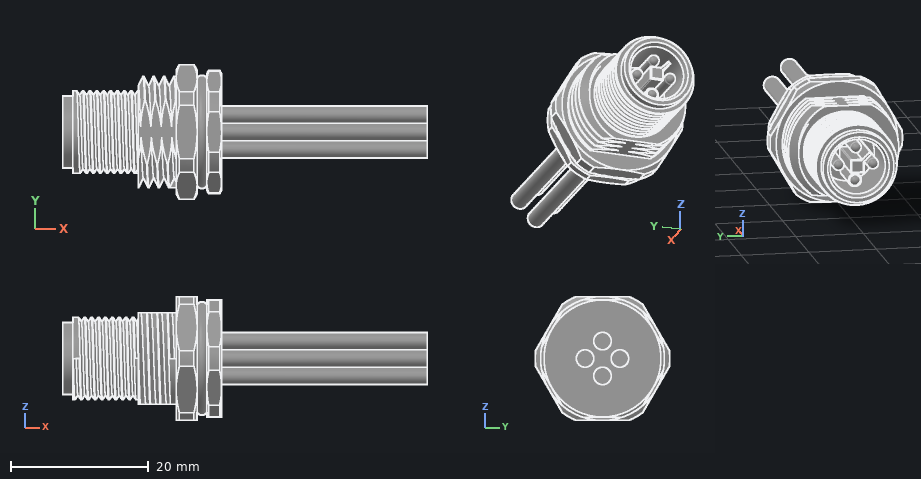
import cadquery as cq
import math


TOTAL_LENGTH = 53.0
COLLAR_START = 1.5
BODY_START = 10.98
NUT_START = 16.5
NUT_END = 19.55
FLANGE_START = 20.95
FLANGE_END = 23.1

NOSE_RADIUS = 5.25
BORE_RADIUS = 4.08
BORE_MOUTH_RADIUS = 4.55
BORE_MOUTH_DEPTH = 0.6
BORE_DEPTH = 9.0

COUPLING_CREST = 6.0
COUPLING_ROOT = 5.4
COUPLING_PITCH = 1.0
COUPLING_TURNS = 9
COUPLING_GROOVE_START = 1.98
PANEL_CREST = 8.1
PANEL_ROOT = 6.7
PANEL_PITCH = 1.5
PANEL_TURNS = 4
PANEL_GROOVE_START = 10.24
PANEL_ACROSS_FLATS = 13.3
CREST_LAND = 0.1
CUTTER_OVERSHOOT = 0.02
RUNOUT_TURNS = 2
CLEAR_WIDTH = 3 * PANEL_CREST

NUT_ACROSS_FLATS = 18.0
NUT_CORNER_RADIUS = 9.8
NUT_FACE_RADIUS = 9.0
FLANGE_ACROSS_FLATS = 17.0
FLANGE_CORNER_RADIUS = 9.0
FLANGE_FACE_RADIUS = 8.5
CHAMFER_ANGLE = 30.0

SEAL_RADIUS = 8.25
SEAL_BULGE = 0.4

CONTACT_COUNT = 4
CONTACT_CIRCLE_RADIUS = 2.53
CONTACT_RADIUS = 0.8
LARGE_CONTACT_RADIUS = 0.95
CONTACT_TIP = 1.35
LARGE_CONTACT_TIP = 1.95
WIRE_RADIUS = 1.27

POST_SIZE = 2.0
POST_FILLET = 0.15
POST_TIP = 0.65
POST_CHAMFER = 0.15
KEY_RIB_WIDTH = 0.42
KEY_RIB_REACH = 2.8
KEY_RIB_CHAMFER = 0.15
KEY_RIB_ANGLE = 135.0


def rod(start, end, radius, y=0.0, z=0.0):
    """Cylinder along X from start to end."""
    return cq.Workplane("YZ", origin=(start, y, z)).circle(radius).extrude(end - start)


def revolve_about_x(outline):
    """Revolve a closed (x, radius) outline about the X axis."""
    return outline.close().revolve(360, (0, 0, 0), (1, 0, 0))


def thread_groove(start, pitch, turns, crest, root):
    """Right-handed V groove that starts and ends on the -Y side."""
    outer = crest + CUTTER_OVERSHOOT
    half_width = (pitch - CREST_LAND) / 2
    helix = cq.Wire.makeHelix(pitch, pitch * turns, root)
    profile = (
        cq.Workplane("XZ")
        .moveTo(root, 0)
        .lineTo(outer, half_width)
        .lineTo(outer, -half_width)
        .close()
    )
    groove = profile.sweep(cq.Workplane(obj=helix), isFrenet=True)
    return (
        groove.rotate((0, 0, 0), (0, 1, 0), 90)
        .rotate((0, 0, 0), (1, 0, 0), -90)
        .translate((start, 0, 0))
    )


def threaded_length(start, end, groove, crest, pitch, height):
    """Threaded cylinder from start to end, limited to a height in Z."""
    runout = RUNOUT_TURNS * pitch
    bar = rod(start - runout, end + runout, crest)
    slab = (
        cq.Workplane("XY")
        .box(end - start, CLEAR_WIDTH, height)
        .translate(((start + end) / 2, 0, 0))
    )
    return bar.cut(groove).intersect(slab)


def coupling_sleeve():
    """Plain nose followed by the fully round threaded coupling length."""
    groove = thread_groove(
        COUPLING_GROOVE_START, COUPLING_PITCH, COUPLING_TURNS, COUPLING_CREST, COUPLING_ROOT
    )
    threaded = threaded_length(
        COLLAR_START, BODY_START, groove, COUPLING_CREST, COUPLING_PITCH, CLEAR_WIDTH
    )
    return threaded.union(rod(0, BODY_START, NOSE_RADIUS))


def panel_body():
    """Threaded panel length with a flat above and below."""
    groove = thread_groove(PANEL_GROOVE_START, PANEL_PITCH, PANEL_TURNS, PANEL_CREST, PANEL_ROOT)
    return threaded_length(
        BODY_START, NUT_START, groove, PANEL_CREST, PANEL_PITCH, PANEL_ACROSS_FLATS
    )


def hexagon(start, end, across_flats, corner_radius, face_radius):
    """Hexagon with corners on +Y and -Y, turned down to a radius and chamfered on both faces."""
    prism = (
        cq.Workplane("YZ", origin=(start, 0, 0))
        .polygon(6, across_flats / math.cos(math.pi / 6))
        .extrude(end - start)
    )
    chamfer = (corner_radius - face_radius) * math.tan(math.radians(CHAMFER_ANGLE))
    envelope = revolve_about_x(
        cq.Workplane("XY")
        .moveTo(start, 0)
        .lineTo(start, face_radius)
        .lineTo(start + chamfer, corner_radius)
        .lineTo(end - chamfer, corner_radius)
        .lineTo(end, face_radius)
        .lineTo(end, 0)
    )
    return prism.intersect(envelope)


def seal():
    """Squeezed sealing ring with a rounded rim, between the nut and the flange."""
    shoulder = SEAL_RADIUS - SEAL_BULGE
    return revolve_about_x(
        cq.Workplane("XY")
        .moveTo(NUT_END, 0)
        .lineTo(NUT_END, shoulder)
        .threePointArc(((NUT_END + FLANGE_START) / 2, SEAL_RADIUS), (FLANGE_START, shoulder))
        .lineTo(FLANGE_START, 0)
    )


def bore():
    """Blind socket with a tapered mouth."""
    return revolve_about_x(
        cq.Workplane("XY")
        .moveTo(0, 0)
        .lineTo(0, BORE_MOUTH_RADIUS)
        .lineTo(BORE_MOUTH_DEPTH, BORE_RADIUS)
        .lineTo(BORE_DEPTH, BORE_RADIUS)
        .lineTo(BORE_DEPTH, 0)
    )


def contact(y, z, radius, tip_start):
    """Round contact with a hemispherical tip of the common contact radius."""
    shoulder = tip_start + CONTACT_RADIUS
    tip = cq.Workplane("XY", origin=(shoulder, y, z)).sphere(CONTACT_RADIUS)
    return rod(shoulder, BORE_DEPTH, radius, y, z).union(tip)


def keying_post():
    """Square centre post with a thin rib running out from its (-Y, +Z) corner."""
    length = BORE_DEPTH - POST_TIP
    post = (
        cq.Workplane("YZ", origin=(POST_TIP, 0, 0))
        .rect(POST_SIZE, POST_SIZE)
        .extrude(length)
        .edges("|X")
        .fillet(POST_FILLET)
        .faces("<X")
        .chamfer(POST_CHAMFER)
    )
    rib = (
        cq.Workplane("YZ", origin=(POST_TIP, 0, 0))
        .rect(KEY_RIB_REACH, KEY_RIB_WIDTH)
        .extrude(length)
        .translate((0, KEY_RIB_REACH / 2, 0))
        .faces(">Y")
        .edges("<X")
        .chamfer(KEY_RIB_CHAMFER)
        .rotate((0, 0, 0), (1, 0, 0), KEY_RIB_ANGLE)
    )
    return post.union(rib)


def contacts_and_wires():
    """Four contacts on one circle, the large one at -Z, each with a wire on the same axis."""
    for index in range(CONTACT_COUNT):
        angle = 2 * math.pi * index / CONTACT_COUNT
        y = CONTACT_CIRCLE_RADIUS * math.sin(angle)
        z = -CONTACT_CIRCLE_RADIUS * math.cos(angle)
        if index == 0:
            yield contact(y, z, LARGE_CONTACT_RADIUS, LARGE_CONTACT_TIP)
        else:
            yield contact(y, z, CONTACT_RADIUS, CONTACT_TIP)
        yield rod(FLANGE_END, TOTAL_LENGTH, WIRE_RADIUS, y, z)


result = coupling_sleeve().union(panel_body())
result = result.union(
    hexagon(NUT_START, NUT_END, NUT_ACROSS_FLATS, NUT_CORNER_RADIUS, NUT_FACE_RADIUS)
)
result = result.union(seal())
result = result.union(
    hexagon(FLANGE_START, FLANGE_END, FLANGE_ACROSS_FLATS, FLANGE_CORNER_RADIUS, FLANGE_FACE_RADIUS)
)
result = result.cut(bore()).union(keying_post())
for piece in contacts_and_wires():
    result = result.union(piece)